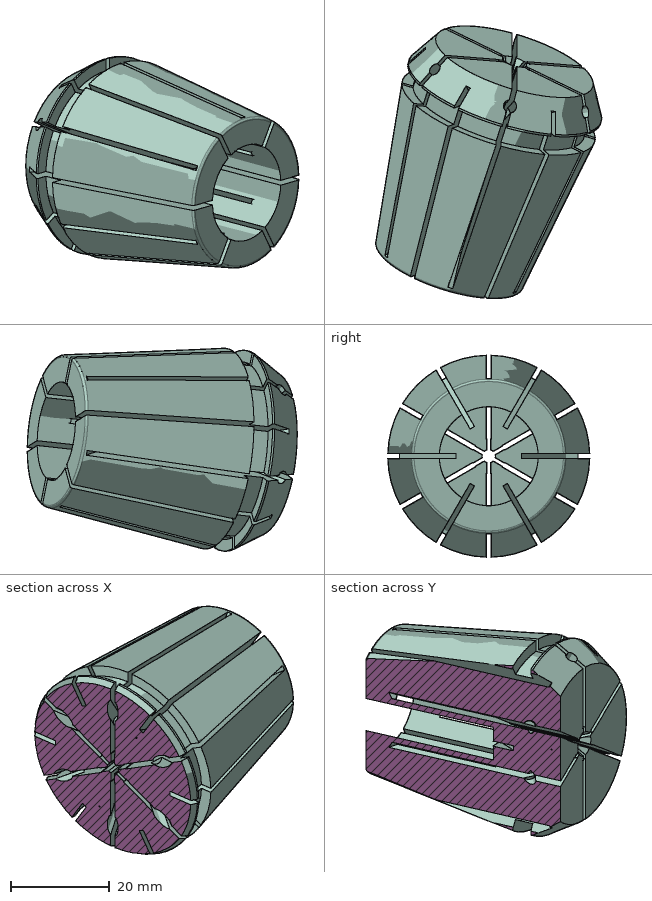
import cadquery as cq
import math

length = 46.0
max_radius = 20.495

nose_angle = 30.0
nose_face_radius = 16.7
nose_rim_end = 7.05
groove_end = 11.15
groove_radius = 18.12
body_angle = 8.0
rear_fillet = 0.5

bore_radius = 1.35
bore_mouth_radius = 2.58
bore_mouth_half_angle = 30.0
relief_radius = 10.05
relief_start = 15.95

slot_count = 6
slot_width = 1.0
inner_slot_width = 0.8
inner_slot_radius = 3.5
saw_radius = 31.75
front_slot_end = 45.05
front_slot_run_out = 39.15
rear_slot_start = 2.5
rear_slot_floor_radius = 6.65

hole_diameter = 2.6
hole_x = 3.05
hole_depth = 9.2

slot_pitch = 360.0 / slot_count
front_slot_angle = slot_pitch / 2
nose_slope = math.tan(math.radians(nose_angle))
body_slope = math.tan(math.radians(body_angle))
nose_cone_end = (max_radius - nose_face_radius) / nose_slope
rear_radius = max_radius - (length - groove_end) * body_slope

clearance = 2.3
clear_radius = max_radius + clearance


def nose_radius_at(x):
    return nose_face_radius + x * nose_slope


def body_radius_at(x):
    return max_radius - (x - groove_end) * body_slope


def make_blank():
    """Turned outside: nose cone, extraction groove and tapered body."""
    profile = (
        cq.Workplane("XY")
        .polyline([
            (0, 0),
            (0, nose_face_radius),
            (nose_cone_end, max_radius),
            (nose_rim_end, max_radius),
            (nose_rim_end, groove_radius),
            (groove_end, groove_radius),
            (groove_end, max_radius),
            (length, rear_radius),
            (length, 0),
        ])
        .close()
    )
    blank = profile.revolve(360, (0, 0, 0), (1, 0, 0))
    return blank.faces(">X").edges().fillet(rear_fillet)


def make_bores():
    """Small gripping bore with a conical mouth, opening into a wide relief bore."""
    mouth_slope = math.tan(math.radians(bore_mouth_half_angle))
    mouth_depth = (bore_mouth_radius - bore_radius) / mouth_slope
    profile = (
        cq.Workplane("XY")
        .polyline([
            (0, 0),
            (0, bore_mouth_radius),
            (mouth_depth, bore_radius),
            (relief_start, bore_radius),
            (relief_start, relief_radius),
            (length, relief_radius),
            (length, 0),
        ])
        .close()
    )
    return profile.revolve(360, (0, 0, 0), (1, 0, 0))


def around_axis(tool, start_angle):
    """Copies of a tool that points along +Y, spaced evenly round the collet axis."""
    copies = cq.Workplane("XY")
    for index in range(slot_count):
        angle = start_angle + index * slot_pitch
        copies = copies.add(tool.rotate((0, 0, 0), (1, 0, 0), angle))
    return copies.combine()


def make_front_slot():
    """Slot through the nose face that runs out in a saw arc near the rear end."""
    outer_slot = (
        cq.Workplane("XY")
        .moveTo(-clearance, inner_slot_radius)
        .lineTo(front_slot_run_out, inner_slot_radius)
        .lineTo(front_slot_run_out, relief_radius)
        .radiusArc((front_slot_end, body_radius_at(front_slot_end)), -saw_radius)
        .lineTo(front_slot_end, clear_radius)
        .lineTo(-clearance, clear_radius)
        .close()
        .extrude(slot_width / 2, both=True)
    )
    inner_slot = (
        cq.Workplane("XY")
        .moveTo(-clearance, 0)
        .lineTo(relief_start + clearance, 0)
        .lineTo(relief_start + clearance, inner_slot_radius)
        .lineTo(-clearance, inner_slot_radius)
        .close()
        .extrude(inner_slot_width / 2, both=True)
    )
    return outer_slot.union(inner_slot)


def make_rear_slot():
    """Slot through the rear face that runs out in a saw arc on the nose cone."""
    return (
        cq.Workplane("XY")
        .moveTo(length + clearance, inner_slot_radius)
        .lineTo(relief_start, inner_slot_radius)
        .lineTo(relief_start, rear_slot_floor_radius)
        .radiusArc((rear_slot_start, nose_radius_at(rear_slot_start)), saw_radius)
        .lineTo(rear_slot_start, clear_radius)
        .lineTo(length + clearance, clear_radius)
        .close()
        .extrude(slot_width / 2, both=True)
    )


def make_extraction_hole():
    """Blind hole square to the nose cone, centred on a front slot."""
    tilt = math.radians(nose_angle)
    outward = cq.Vector(-math.sin(tilt), math.cos(tilt), 0)
    bottom = cq.Vector(hole_x, nose_radius_at(hole_x), 0) - outward * hole_depth
    hole = cq.Solid.makeCylinder(hole_diameter / 2, hole_depth + clearance, bottom, outward)
    return cq.Workplane("XY").add(hole)


result = (
    make_blank()
    .cut(make_bores())
    .cut(around_axis(make_front_slot(), front_slot_angle))
    .cut(around_axis(make_rear_slot(), 0))
    .cut(around_axis(make_extraction_hole(), front_slot_angle))
)